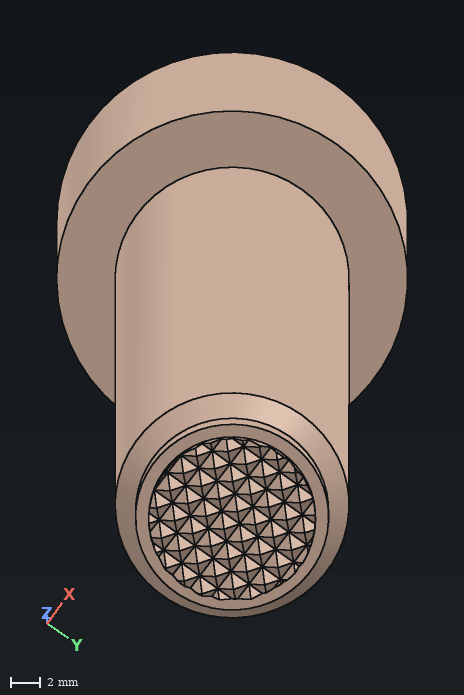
import cadquery as cq
import math

total_length = 76.0
head_height = 16.0
tip_z = head_height - total_length

head_diameter = 24.0
head_edge_radius = 1.6
socket_across_flats = 14.0
socket_across_corners = socket_across_flats / math.cos(math.pi / 6)
socket_depth = 8.0
socket_floor_angle = 30.0

shank_diameter = 16.0
collar_diameter = 13.2
chamfer_size = (shank_diameter - collar_diameter) / 2
collar_length = 1.5
pad_protrusion = 1.1
collar_end_z = tip_z + pad_protrusion
collar_start_z = collar_end_z + collar_length
shank_end_z = collar_start_z + chamfer_size

pad_diameter = 11.4
pad_seat_depth = 3.0
pad_top_z = collar_end_z + pad_seat_depth

tooth_pitch = 1.53
tooth_depth = tooth_pitch / 2
tooth_grid_shift_y = -0.12
groove_reach = math.ceil(pad_diameter / 2 / tooth_pitch)
groove_offsets_x = [i * tooth_pitch for i in range(-groove_reach, groove_reach + 1)]
groove_offsets_y = [
    (i + 0.5) * tooth_pitch + tooth_grid_shift_y for i in range(-groove_reach, groove_reach)
]


def make_socket():
    """Hexagonal prism with a conical floor that starts at the hexagon corners."""
    corner_radius = socket_across_corners / 2
    cone_depth = corner_radius * math.tan(math.radians(socket_floor_angle))
    floor_z = head_height - socket_depth
    cone_tip_z = floor_z - cone_depth
    hexagon = (
        cq.Workplane("XY")
        .workplane(offset=cone_tip_z)
        .polygon(6, socket_across_corners)
        .extrude(head_height - cone_tip_z)
    )
    drilled_hole = (
        cq.Workplane("XZ")
        .moveTo(0, cone_tip_z)
        .lineTo(corner_radius, floor_z)
        .lineTo(corner_radius, head_height)
        .lineTo(0, head_height)
        .close()
        .revolve(360, (0, 0, 0), (0, 1, 0))
    )
    return hexagon.intersect(drilled_hole)


def make_screw():
    """Cap screw with a rounded head edge, a socket and a round seat for the pad."""
    head = cq.Workplane("XY").circle(head_diameter / 2).extrude(head_height)
    head = head.faces(">Z").edges().fillet(head_edge_radius)
    shank = (
        cq.Workplane("XZ")
        .lineTo(shank_diameter / 2, 0)
        .lineTo(shank_diameter / 2, shank_end_z)
        .lineTo(collar_diameter / 2, collar_start_z)
        .lineTo(collar_diameter / 2, collar_end_z)
        .lineTo(0, collar_end_z)
        .close()
        .revolve(360, (0, 0, 0), (0, 1, 0))
    )
    pad_seat = (
        cq.Workplane("XY")
        .workplane(offset=collar_end_z)
        .circle(pad_diameter / 2)
        .extrude(pad_seat_depth)
    )
    return head.union(shank).cut(make_socket()).cut(pad_seat)


def make_groove(plane, offset):
    """90 degree V-groove across the pad face, one tooth pitch wide where it opens."""
    return (
        cq.Workplane(plane)
        .moveTo(offset - tooth_pitch / 2, tip_z)
        .lineTo(offset, tip_z + tooth_depth)
        .lineTo(offset + tooth_pitch / 2, tip_z)
        .close()
        .extrude(pad_diameter, both=True)
    )


def make_pad():
    """Round pad whose end face is cut into teeth by two crossing sets of grooves."""
    pad = (
        cq.Workplane("XY")
        .workplane(offset=tip_z)
        .circle(pad_diameter / 2)
        .extrude(pad_top_z - tip_z)
    )
    for offset in groove_offsets_x:
        pad = pad.cut(make_groove("XZ", offset))
    for offset in groove_offsets_y:
        pad = pad.cut(make_groove("YZ", offset))
    return pad


screw = make_screw()
pad = make_pad()
result = cq.Compound.makeCompound([screw.val(), pad.val()])